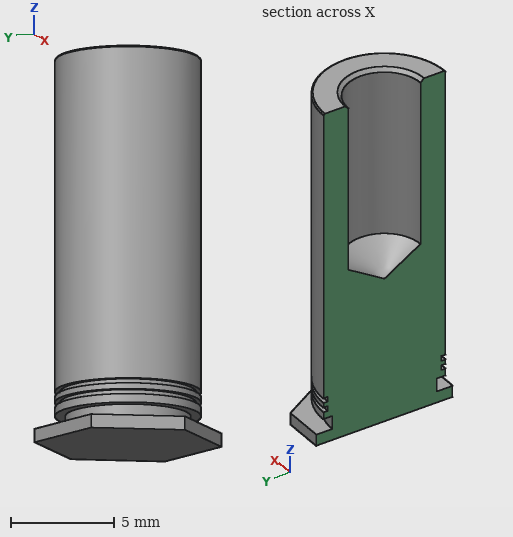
import cadquery as cq
import math

total_height = 19.05
head_across_flats = 7.92
head_thickness = 0.67
head_across_corners = head_across_flats / math.cos(math.radians(30))

barrel_diameter = 7.1
rim_chamfer = 0.08
neck_diameter = 6.1
neck_top = 1.4

groove_diameter = 6.61
groove_width = 0.25
groove_bottoms = (1.81, 2.35)

bore_diameter = 4.17
bore_mouth_diameter = 4.57
bore_depth = 9.52
drill_point_angle = 118.0
bore_radius = bore_diameter / 2
mouth_radius = bore_mouth_diameter / 2
mouth_chamfer = mouth_radius - bore_radius
drill_point_height = bore_radius / math.tan(math.radians(drill_point_angle / 2))


def cylinder(diameter, bottom, top):
    """Solid cylinder on the Z axis between two heights."""
    return cq.Workplane("XY").workplane(offset=bottom).circle(diameter / 2).extrude(top - bottom)


def make_head():
    """Hexagonal plate with two corners on the X axis."""
    return cq.Workplane("XY").polygon(6, head_across_corners).extrude(head_thickness)


def make_barrel():
    """Barrel with a chamfered rim and grooves near its lower end."""
    barrel = cylinder(barrel_diameter, neck_top, total_height).faces(">Z").chamfer(rim_chamfer)
    for bottom in groove_bottoms:
        top = bottom + groove_width
        groove = cylinder(barrel_diameter, bottom, top).cut(cylinder(groove_diameter, bottom, top))
        barrel = barrel.cut(groove)
    return barrel


def make_bore():
    """Revolved void: chamfered mouth, straight wall and drill point."""
    bore_floor = total_height - bore_depth
    return (
        cq.Workplane("XZ")
        .moveTo(0, total_height)
        .lineTo(mouth_radius, total_height)
        .lineTo(bore_radius, total_height - mouth_chamfer)
        .lineTo(bore_radius, bore_floor)
        .lineTo(0, bore_floor - drill_point_height)
        .close()
        .revolve(360, (0, 0, 0), (0, 1, 0))
    )


neck = cylinder(neck_diameter, head_thickness, neck_top)
result = make_head().union(neck).union(make_barrel()).cut(make_bore())